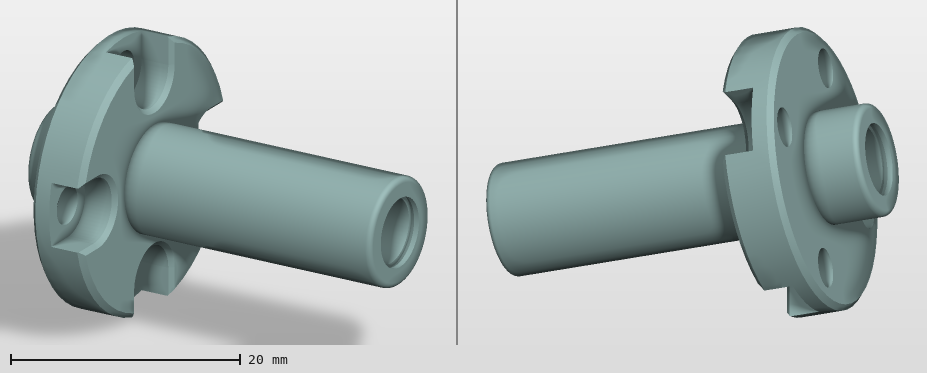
import cadquery as cq

LENGTH = 35.0
TUBE_DIAMETER = 10.0
TUBE_END_ROUND = 0.5
BORE_DIAMETER = 6.0
BORE_END_DIAMETER = 6.4
BORE_END_DEPTH = 0.5
GROOVE_DIAMETER = 6.8
GROOVE_WIDTH = 0.4

FLANGE_DIAMETER = 25.0
FLANGE_START = 5.0
FLANGE_THICKNESS = 5.0
FLANGE_CHAMFER = 0.5

HOLE_DIAMETER = 3.5
HOLE_CIRCLE_RADIUS = 9.5
HOLE_COUNT = 4
SLOT_WIDTH = 6.0
SLOT_FLOOR = 6.9
SLOT_MOUTH_WIDTH = 6.8
SLOT_OUTER_REACH = 3.5

FLANGE_END = FLANGE_START + FLANGE_THICKNESS


def axial_cylinder(diameter, start, length, z=0.0):
    """Cylinder parallel to X, beginning at x = start."""
    return cq.Workplane("YZ", origin=(start, 0, z)).circle(diameter / 2).extrude(length)


def body():
    """Round-ended tube carrying a chamfered disc flange."""
    tube = axial_cylinder(TUBE_DIAMETER, 0, LENGTH).edges().fillet(TUBE_END_ROUND)
    flange = axial_cylinder(FLANGE_DIAMETER, FLANGE_START, FLANGE_THICKNESS)
    return tube.union(flange.edges().chamfer(FLANGE_CHAMFER))


def bore():
    """Through bore with a wider mouth and an undercut groove at each end."""
    mouth = axial_cylinder(BORE_END_DIAMETER, 0, BORE_END_DEPTH)
    groove = axial_cylinder(GROOVE_DIAMETER, BORE_END_DEPTH, GROOVE_WIDTH)
    near_end = mouth.union(groove)
    far_end = near_end.mirror("YZ").translate((LENGTH, 0, 0))
    return axial_cylinder(BORE_DIAMETER, 0, LENGTH).union(near_end).union(far_end)


def bolt_station():
    """Bolt hole and round-bottomed slot open to the rim, on the +Z side."""
    hole = axial_cylinder(HOLE_DIAMETER, FLANGE_START, FLANGE_THICKNESS, z=HOLE_CIRCLE_RADIUS)
    slot_depth = FLANGE_END - SLOT_FLOOR
    slot_end = axial_cylinder(SLOT_WIDTH, SLOT_FLOOR, slot_depth, z=HOLE_CIRCLE_RADIUS)
    slot_opening = cq.Workplane("XY").box(
        slot_depth, SLOT_WIDTH, SLOT_OUTER_REACH, centered=(False, True, False)
    ).translate((SLOT_FLOOR, 0, HOLE_CIRCLE_RADIUS))
    slot = slot_end.union(slot_opening)

    flare_size = (SLOT_MOUTH_WIDTH - SLOT_WIDTH) / 2
    mouth = (
        cq.Workplane("YZ", origin=(FLANGE_END, 0, HOLE_CIRCLE_RADIUS + SLOT_OUTER_REACH / 2))
        .slot2D(SLOT_MOUTH_WIDTH + SLOT_OUTER_REACH, SLOT_MOUTH_WIDTH, 90)
        .extrude(-flare_size, taper=45)
    )
    return hole.union(slot).union(mouth)


result = body().cut(bore())
for index in range(HOLE_COUNT):
    angle = index * 360 / HOLE_COUNT
    result = result.cut(bolt_station().rotate((0, 0, 0), (1, 0, 0), angle))